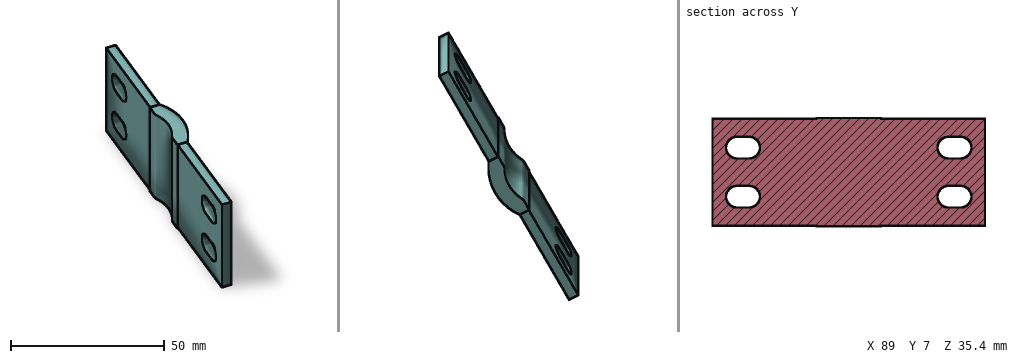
import cadquery as cq

PLATE_LENGTH = 89.0
PLATE_HEIGHT = 35.0
PLATE_THICKNESS = 3.4

BRIDGE_WIDTH = 21.2
BRIDGE_DEPTH = 7.0
BRIDGE_OVERHANG = 0.2
BRIDGE_HEIGHT = PLATE_HEIGHT + 2 * BRIDGE_OVERHANG
BRIDGE_FRONT_Y = -BRIDGE_OVERHANG
BRIDGE_CREST_Y = BRIDGE_FRONT_Y + BRIDGE_DEPTH

GROOVE_ARC_WIDTH = 12.14
GROOVE_ARC_RISE = 1.55
GROOVE_LIP_WIDTH = 0.8

SLOT_LENGTH = 11.0
SLOT_HEIGHT = 7.0
SLOT_END_DISTANCE = 10.0
SLOT_SPACING = 16.0


def make_plate():
    """Rectangular plate, centred on X and Z."""
    return cq.Workplane("XY").box(
        PLATE_LENGTH, PLATE_THICKNESS, PLATE_HEIGHT, centered=(True, False, True)
    )


def make_bridge_gap():
    """Middle stretch of the plate that the bridge replaces."""
    return cq.Workplane("XY").box(
        BRIDGE_WIDTH, PLATE_THICKNESS, PLATE_HEIGHT, centered=(True, False, True)
    )


def make_bridge():
    """Arched cross-section with a bevel-lipped groove, extruded along Z."""
    half_width = BRIDGE_WIDTH / 2
    half_arc = GROOVE_ARC_WIDTH / 2
    half_mouth = half_arc + GROOVE_LIP_WIDTH
    return (
        cq.Workplane("XY")
        .moveTo(-half_width, BRIDGE_FRONT_Y)
        .lineTo(-half_mouth, BRIDGE_FRONT_Y)
        .lineTo(-half_arc, 0)
        .threePointArc((0, GROOVE_ARC_RISE), (half_arc, 0))
        .lineTo(half_mouth, BRIDGE_FRONT_Y)
        .lineTo(half_width, BRIDGE_FRONT_Y)
        .lineTo(half_width, PLATE_THICKNESS)
        .threePointArc((0, BRIDGE_CREST_Y), (-half_width, PLATE_THICKNESS))
        .close()
        .extrude(BRIDGE_HEIGHT / 2, both=True)
    )


def make_slots():
    """Four slot cutters, long along X, running through the plate thickness."""
    slot_x = PLATE_LENGTH / 2 - SLOT_END_DISTANCE
    slot_z = SLOT_SPACING / 2
    centres = [(x, z) for x in (-slot_x, slot_x) for z in (-slot_z, slot_z)]
    return (
        cq.Workplane("XZ")
        .pushPoints(centres)
        .slot2D(SLOT_LENGTH, SLOT_HEIGHT)
        .extrude(-PLATE_THICKNESS)
    )


plate = make_plate().cut(make_bridge_gap()).cut(make_slots())
result = plate.union(make_bridge())